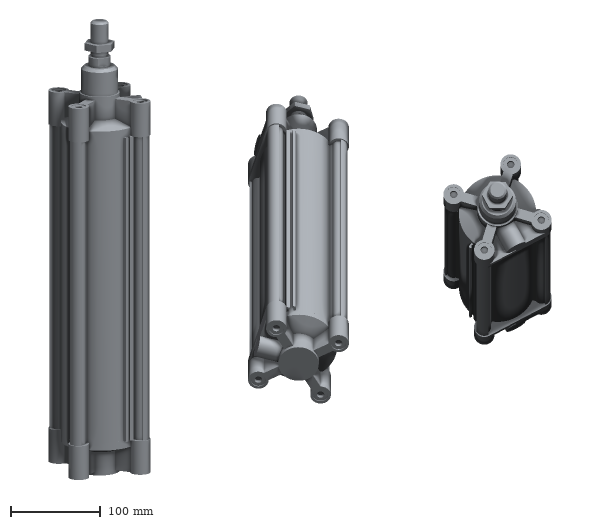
import cadquery as cq
import math


total_height = 518.5
barrel_bottom = 43.0
barrel_top = 393.5

overall_width = 95.0
post_diameter = 23.0
post_height = 39.0
post_offset = (overall_width - post_diameter) / 2
cap_web_width = 11.0
screw_head_diameter = 16.5
screw_head_depth = 1.0
screw_socket_diameter = 8.5
screw_socket_depth = 6.0

body_radius = 43.0
disc_height = 9.0
cone_height = 16.0
neck_radius = 45.0 / 2
neck_height = barrel_bottom

port_diameter = 24.5
port_offset_x = 2.0
port_height = 23.5
port_pad_height = 21.0
port_face_y = overall_width / 2

gland_diameter = 41.0
gland_top = 467.0
gland_chamfer = 3.0

barrel_web_width = 12.5
rib_core_radius = 15.0 / 2
rib_cover_radius = 20.0 / 2

upper_lip_root_x = 34.0
upper_lip_tip_x = 42.0
upper_lip_y = 22.5
upper_lip_width = 3.5
lower_lip_root_x = 39.0
lower_lip_neck_x = 42.0
lower_lip_hook_x = 42.5
lower_lip_tip_x = 45.0
lower_lip_y = 15.0
lower_lip_top_y = 19.0
lower_lip_slope = 1.5
lower_lip_thickness = 2.0

rod_diameter = 25.0
shoulder_z = 478.0
relief_diameter = 18.0
relief_height = 2.5
thread_diameter = 20.0
thread_chamfer = 2.0
flat_spacing = 22.5
flat_height = 9.5
nut_across_flats = 30.0
nut_bottom = 486.0
nut_height = 8.5

WEB_ANGLE = 45
CORNERS = [(sx, sy) for sx in (-1, 1) for sy in (-1, 1)]


def cylinder(radius, height, bottom=0.0):
    return cq.Workplane("XY").workplane(offset=bottom).circle(radius).extrude(height)


def diagonal_webs(width, height):
    """Crossed walls that reach from post to post through the centre."""
    length = 2 * math.sqrt(2) * post_offset
    wall = cq.Workplane("XY").box(length, width, height, centered=(True, True, False))
    rising = wall.rotate((0, 0, 0), (0, 0, 1), WEB_ANGLE)
    falling = wall.rotate((0, 0, 0), (0, 0, 1), -WEB_ANGLE)
    return rising.union(falling)


def port_block():
    """Raised pad on the -X side, low wall on the +X side and the round port boss between them."""
    pad = cq.Workplane("XY").box(post_offset, port_face_y, port_pad_height, centered=False)
    pad = pad.translate((port_offset_x - post_offset, 0, 0))
    web_quarter = (
        cq.Workplane("XY")
        .polyline([(0, 0), (-port_face_y, port_face_y), (port_face_y, port_face_y)])
        .close()
        .extrude(port_pad_height)
    )
    pad = pad.intersect(web_quarter)
    wall = cq.Workplane("XY").box(post_offset, port_face_y, disc_height, centered=False)
    boss = (
        cq.Workplane("XZ")
        .center(port_offset_x, port_height)
        .circle(port_diameter / 2)
        .extrude(-port_face_y)
    )
    return pad.union(wall).union(boss)


def make_cap():
    """End cap with its barrel face on Z = 0 and its neck pointing along +Z."""
    cap = (
        cq.Workplane("XZ")
        .polyline(
            [
                (0, 0),
                (body_radius, 0),
                (body_radius, disc_height),
                (neck_radius, cone_height),
                (neck_radius, neck_height),
                (0, neck_height),
            ]
        )
        .close()
        .revolve(360, (0, 0, 0), (0, 1, 0))
    )
    cap = cap.union(diagonal_webs(cap_web_width, post_height))
    cap = cap.union(port_block())
    for sx, sy in CORNERS:
        place = (sx * post_offset, sy * post_offset, 0)
        cap = cap.union(cylinder(post_diameter / 2, post_height).translate(place))
        head = cylinder(screw_head_diameter / 2, screw_head_depth, post_height - screw_head_depth)
        socket = cylinder(screw_socket_diameter / 2, screw_socket_depth, post_height - screw_socket_depth)
        cap = cap.cut(head.union(socket).translate(place))
    return cap


def make_rear_cap():
    cap = make_cap()
    return cap.mirror("XY").translate((0, 0, barrel_bottom))


def make_front_cap():
    """Front cap with the gland on its neck and a through bore for the rod."""
    gland_height = gland_top - barrel_top - neck_height
    gland = cylinder(gland_diameter / 2, gland_height, neck_height)
    gland = gland.faces(">Z").chamfer(gland_chamfer)
    cap = make_cap().union(gland)
    cap = cap.cut(cylinder(rod_diameter / 2, gland_top - barrel_top))
    return cap.translate((0, 0, barrel_top))


def corner_rib(sx, sy, length):
    """Round rib whose outer quarter has a slightly larger radius."""
    core = cq.Workplane("XY").circle(rib_core_radius).extrude(length)
    cover = cq.Workplane("XY").circle(rib_cover_radius).extrude(length)
    quarter = cq.Workplane("XY").box(rib_cover_radius, rib_cover_radius, length, centered=False)
    angle = math.degrees(math.atan2(sy, sx)) - WEB_ANGLE
    cover = cover.intersect(quarter).rotate((0, 0, 0), (0, 0, 1), angle)
    return core.union(cover).translate((sx * post_offset, sy * post_offset, 0))


def sensor_slot(length):
    """Two lips on the +X side that leave a sensor slot between them."""
    upper_lip = (
        cq.Workplane("XY")
        .polyline(
            [
                (upper_lip_root_x, upper_lip_y + upper_lip_width),
                (upper_lip_tip_x, upper_lip_y + upper_lip_width),
                (upper_lip_tip_x, upper_lip_y),
                (upper_lip_root_x, upper_lip_y),
            ]
        )
        .close()
        .extrude(length)
    )
    lower_lip = (
        cq.Workplane("XY")
        .polyline(
            [
                (lower_lip_root_x, lower_lip_y),
                (lower_lip_neck_x, lower_lip_y),
                (lower_lip_tip_x, lower_lip_y + lower_lip_slope),
                (lower_lip_tip_x, lower_lip_top_y),
                (lower_lip_hook_x, lower_lip_top_y),
                (lower_lip_hook_x, lower_lip_y + lower_lip_thickness),
                (lower_lip_root_x, lower_lip_y + lower_lip_thickness),
            ]
        )
        .close()
        .extrude(length)
    )
    return upper_lip.union(lower_lip)


def make_barrel():
    length = barrel_top - barrel_bottom
    barrel = cylinder(body_radius, length).union(diagonal_webs(barrel_web_width, length))
    for sx, sy in CORNERS:
        barrel = barrel.union(corner_rib(sx, sy, length))
    slot = sensor_slot(length)
    barrel = barrel.union(slot).union(slot.mirror("YZ"))
    return barrel.translate((0, 0, barrel_bottom))


def make_rod():
    rod = cylinder(rod_diameter / 2, shoulder_z - barrel_top, barrel_top)
    flat_cut = (
        cq.Workplane("XY")
        .box(rod_diameter, rod_diameter, flat_height, centered=(False, True, False))
        .translate((flat_spacing / 2, 0, shoulder_z - flat_height))
    )
    rod = rod.cut(flat_cut).cut(flat_cut.mirror("YZ"))
    thread_z = shoulder_z + relief_height
    thread = cylinder(thread_diameter / 2, total_height - thread_z, thread_z)
    thread = thread.faces(">Z").chamfer(thread_chamfer)
    return rod.union(cylinder(relief_diameter / 2, relief_height, shoulder_z)).union(thread)


def make_nut():
    """Hexagon nut with its flats facing +X and -X."""
    across_corners = nut_across_flats / math.cos(math.radians(30))
    nut = cq.Workplane("XY").polygon(6, across_corners).circle(thread_diameter / 2).extrude(nut_height)
    return nut.rotate((0, 0, 0), (0, 0, 1), 90).translate((0, 0, nut_bottom))


rear_cap = make_rear_cap()
barrel = make_barrel()
front_cap = make_front_cap()
rod = make_rod()
nut = make_nut()

result = cq.Compound.makeCompound(
    [rear_cap.val(), barrel.val(), front_cap.val(), rod.val(), nut.val()]
)